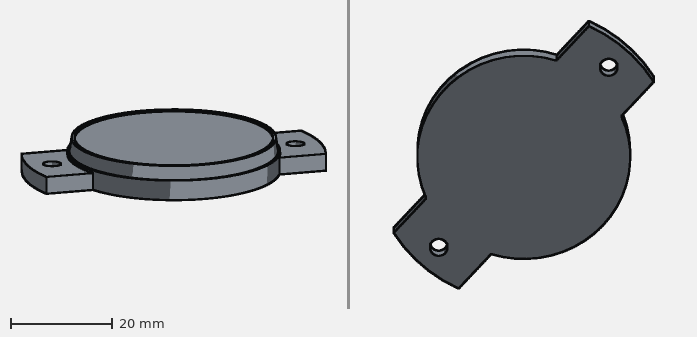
import cadquery as cq

body_radius = 21.0
shoulder_height = 4.0
total_height = 6.8

cap_base_radius = 20.6
cap_top_radius = 20.15

recess_radius = 19.55
recess_depth = 0.3

tab_end_radius = 30.0
tab_width = 17.2
tab_thickness = 3.5
hole_diameter = 3.5
hole_offset = 25.0


def make_body():
    """Cylinder with a tapered cap, revolved about Z."""
    return (
        cq.Workplane("XZ")
        .lineTo(body_radius, 0)
        .lineTo(body_radius, shoulder_height)
        .lineTo(cap_base_radius, shoulder_height)
        .lineTo(cap_top_radius, total_height)
        .lineTo(0, total_height)
        .close()
        .revolve(360, (0, 0), (0, 1))
    )


def make_tabs():
    """One bar through the body, with ends rounded about the body axis and a hole at each end."""
    end_disc = cq.Workplane("XY").circle(tab_end_radius).extrude(tab_thickness)
    bar = cq.Workplane("XY").rect(tab_width, 2 * tab_end_radius).extrude(tab_thickness)
    holes = (
        cq.Workplane("XY")
        .pushPoints([(0, -hole_offset), (0, hole_offset)])
        .circle(hole_diameter / 2)
        .extrude(tab_thickness)
    )
    return bar.intersect(end_disc).cut(holes)


def make_recess():
    """Shallow disc removed from the top face."""
    floor = cq.Workplane("XY").workplane(offset=total_height - recess_depth)
    return floor.circle(recess_radius).extrude(recess_depth)


result = make_body().union(make_tabs()).cut(make_recess())